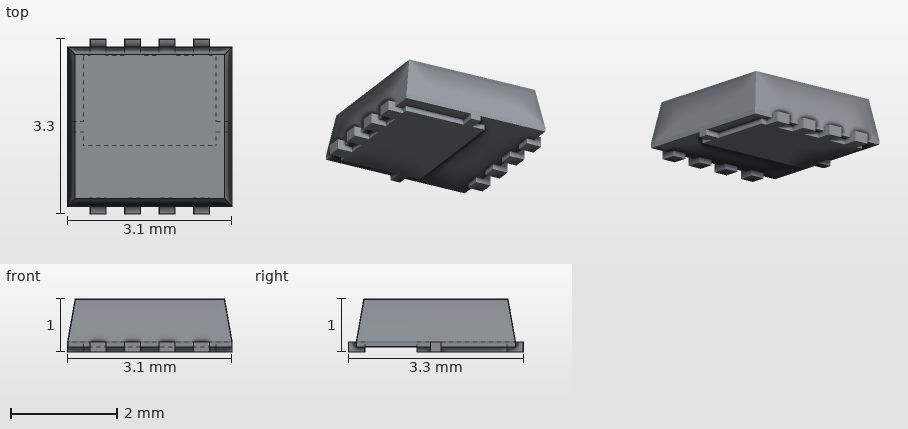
import cadquery as cq

TOTAL_HEIGHT = 1.0
TOTAL_LENGTH = 3.3

HOUSING_WIDTH = 3.1
HOUSING_LENGTH = 3.0
HOUSING_BOTTOM = 0.102
TAPER_INSET = 0.142

METAL_THICKNESS = 0.195
LEADS_PER_SIDE = 4
LEAD_PITCH = 0.65
LEAD_WIDTH = 0.3
LEAD_LENGTH = 0.31

PAD_WIDTH = 2.498
PAD_FRONT_Y = -0.355
PAD_BACK_Y = TOTAL_LENGTH / 2 - LEAD_LENGTH
TIE_BAR_WIDTH = 0.2

LEAD_CENTRES_X = [
    (index - (LEADS_PER_SIDE - 1) / 2) * LEAD_PITCH for index in range(LEADS_PER_SIDE)
]


def metal_block(width, front_y, back_y, center_x=0):
    """Block of full metal thickness standing on Z = 0."""
    return (
        cq.Workplane("XY")
        .center(center_x, (front_y + back_y) / 2)
        .rect(width, back_y - front_y)
        .extrude(METAL_THICKNESS)
    )


def make_front_lead(center_x):
    """Separate lead on the -Y side."""
    front_y = -TOTAL_LENGTH / 2
    return metal_block(LEAD_WIDTH, front_y, front_y + LEAD_LENGTH, center_x)


def make_die_pad():
    """Die pad in one piece with its tie bars and the four +Y leads."""
    pad = metal_block(PAD_WIDTH, PAD_FRONT_Y, PAD_BACK_Y)
    pad = pad.union(metal_block(HOUSING_WIDTH, -TIE_BAR_WIDTH / 2, TIE_BAR_WIDTH / 2))
    for center_x in LEAD_CENTRES_X:
        pad = pad.union(metal_block(LEAD_WIDTH, PAD_BACK_Y, TOTAL_LENGTH / 2, center_x))
    return pad


def make_housing(metal_bodies):
    """Rim and tapered block, recessed underneath where the metal sits."""
    rim = (
        cq.Workplane("XY", origin=(0, 0, HOUSING_BOTTOM))
        .rect(HOUSING_WIDTH, HOUSING_LENGTH)
        .extrude(METAL_THICKNESS - HOUSING_BOTTOM)
    )
    tapered_block = (
        cq.Workplane("XY", origin=(0, 0, METAL_THICKNESS))
        .rect(HOUSING_WIDTH, HOUSING_LENGTH)
        .workplane(offset=TOTAL_HEIGHT - METAL_THICKNESS)
        .rect(HOUSING_WIDTH - 2 * TAPER_INSET, HOUSING_LENGTH - 2 * TAPER_INSET)
        .loft(ruled=True)
    )
    housing = rim.union(tapered_block)
    for body in metal_bodies:
        housing = housing.cut(body)
    return housing


front_leads = [make_front_lead(center_x) for center_x in LEAD_CENTRES_X]
die_pad = make_die_pad()
housing = make_housing([die_pad, *front_leads])

result = cq.Compound.makeCompound(
    [*housing.solids().vals(), *die_pad.solids().vals(), *[lead.val() for lead in front_leads]]
)